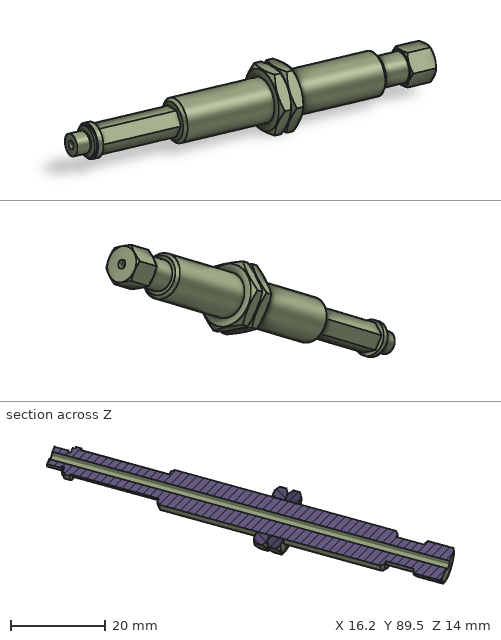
import cadquery as cq
import math

OVERALL_LENGTH = 89.5
BORE_DIAMETER = 2.0

HEAD_FLATS = 8.0
HEAD_LENGTH = 6.5
HEAD_FACE_DIAMETER = 7.9
HEAD_CHAMFER_ANGLE = 30.0

NECK_DIAMETER = 7.0
BARREL_DIAMETER = 10.0
BARREL_FRONT = 25.5
BARREL_LENGTH = 51.2
BARREL_CHAMFER = 0.7

ROD_FLATS = 6.0
FLANGE_DIAMETER = 8.0
FLANGE_LENGTH = 1.3
LIP_DIAMETER = 7.0
LIP_LENGTH = 0.5
GROOVE_DIAMETER = 4.1
GROOVE_LENGTH = 0.5
TIP_DIAMETER = 5.0
TIP_LENGTH = 3.2

NUT_COUNT = 2
NUT_FLATS = 14.0
NUT_THICKNESS = 3.0
NUT_FACE_DIAMETER = 13.6
NUT_CHAMFER_ANGLE = 30.0
NUTS_FRONT = 48.1

groove_front = TIP_LENGTH
lip_front = groove_front + GROOVE_LENGTH
flange_front = lip_front + LIP_LENGTH
rod_front = flange_front + FLANGE_LENGTH
barrel_rear = BARREL_FRONT + BARREL_LENGTH
head_front = OVERALL_LENGTH - HEAD_LENGTH


def plane_at(y):
    """Sketch plane across the axis, extruding toward +Y, with sketch x along X."""
    return cq.Workplane(cq.Plane(origin=(0, y, 0), xDir=(1, 0, 0), normal=(0, 1, 0)))


def cylinder(y, diameter, length):
    return plane_at(y).circle(diameter / 2).extrude(length)


def hexagon(y, flats, length):
    """Hexagonal prism with flats facing up and down and corners on +X and -X."""
    return plane_at(y).polygon(6, flats / math.cos(math.pi / 6)).extrude(length)


def chamfered_hexagon(y, flats, length, face_diameter, angle):
    """Hexagonal prism whose corners are turned down to a round face at both ends."""
    face_radius = face_diameter / 2
    corner_radius = flats / 2 / math.cos(math.pi / 6)
    depth = (corner_radius - face_radius) * math.tan(math.radians(angle))
    turned_blank = (
        cq.Workplane("XY")
        .moveTo(0, y)
        .lineTo(face_radius, y)
        .lineTo(corner_radius, y + depth)
        .lineTo(corner_radius, y + length - depth)
        .lineTo(face_radius, y + length)
        .lineTo(0, y + length)
        .close()
        .revolve(360, (0, 0, 0), (0, 1, 0))
    )
    return hexagon(y, flats, length).intersect(turned_blank)


def make_plunger():
    """Stepped tip, hexagonal rod, barrel, neck and head, with one bore right through."""
    barrel = cylinder(BARREL_FRONT, BARREL_DIAMETER, BARREL_LENGTH).edges("%CIRCLE").chamfer(BARREL_CHAMFER)
    head = chamfered_hexagon(head_front, HEAD_FLATS, HEAD_LENGTH, HEAD_FACE_DIAMETER, HEAD_CHAMFER_ANGLE)
    body = (
        cylinder(0, TIP_DIAMETER, TIP_LENGTH)
        .union(cylinder(groove_front, GROOVE_DIAMETER, GROOVE_LENGTH))
        .union(cylinder(lip_front, LIP_DIAMETER, LIP_LENGTH))
        .union(cylinder(flange_front, FLANGE_DIAMETER, FLANGE_LENGTH))
        .union(hexagon(rod_front, ROD_FLATS, BARREL_FRONT - rod_front))
        .union(barrel)
        .union(cylinder(barrel_rear, NECK_DIAMETER, head_front - barrel_rear))
        .union(head)
    )
    return body.cut(cylinder(0, BORE_DIAMETER, OVERALL_LENGTH))


def make_nut(y):
    """Hexagonal nut with its front face at y and a hole that fits the barrel."""
    blank = chamfered_hexagon(y, NUT_FLATS, NUT_THICKNESS, NUT_FACE_DIAMETER, NUT_CHAMFER_ANGLE)
    return blank.cut(cylinder(y, BARREL_DIAMETER, NUT_THICKNESS))


plunger = make_plunger()
nuts = [make_nut(NUTS_FRONT + index * NUT_THICKNESS) for index in range(NUT_COUNT)]

result = cq.Compound.makeCompound([plunger.val(), *[nut.val() for nut in nuts]])